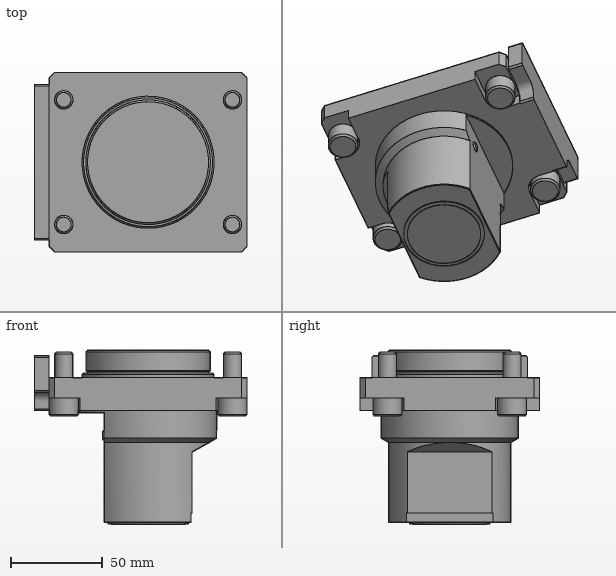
import cadquery as cq
import math


PLATE_LENGTH_X = 108.0
PLATE_WIDTH_Y = 98.0
PLATE_THICKNESS = 18.0
CORNER_THICKNESS = 11.0
PLATE_CORNER_CHAMFER = 3.0

SCREW_SPACING_X = 92.0
SCREW_SPACING_Y = 68.0
SHANK_DIAMETER = 10.0
SHANK_TOP = 14.0
HEAD_DIAMETER = 16.0
HEAD_HEIGHT = 10.0
HEAD_CLEARANCE = 1.0
SCREW_CHAMFER = 1.0

RAIL_THICKNESS = 8.0
RAIL_WIDTH = 85.0
RAIL_TOP = 12.0
RAIL_SHOULDER_Z = -8.0
RAIL_CHAMFER = 1.0
TAB_WIDTH = 51.0
TAB_FILLET = 5.0

FLANGE_DIAMETER = 72.04
FLANGE_HEIGHT = 2.6
FLANGE_CHAMFER = 0.85
NECK_DIAMETER = 66.7
LID_DIAMETER = 68.0
LID_BOTTOM = 3.4
LID_TOP = 15.0
LID_TOP_CHAMFER = 1.0
LID_BOTTOM_CHAMFER = 0.5

COLLAR_DIAMETER = 75.0
COLLAR_BOTTOM = -33.0
LEDGE_BOTTOM = -19.2
BARREL_DIAMETER = 66.7
SHOULDER_SLOPE = 30.0
RAMP_BOTTOM = -40.6
FLAT_LEFT_X = -24.0
FLAT_RIGHT_X = 24.0
CAP_TOP = -73.9
CAP_BOTTOM = -79.1
CAP_RIGHT_X = 23.5
CAP_CHAMFER = 0.4
BOTTOM_Z = -79.96
FOOT_STEP_DIAMETER = 44.0
FOOT_STEP_Z = -79.7
FOOT_DIAMETER = 40.0

BUTTON_DIAMETER = 5.7
BUTTON_HEIGHT = 0.9
BUTTON_CHAMFER = 0.85
BUTTON_Y = 15.5
BUTTON_Z = -31.5


def cylinder(diameter, bottom, top):
    return cq.Workplane("XY", origin=(0, 0, bottom)).circle(diameter / 2).extrude(top - bottom)


def block(x_min, x_max, y_size, bottom, top):
    slab = cq.Workplane("XY").box(x_max - x_min, y_size, top - bottom, centered=(False, True, False))
    return slab.translate((x_min, 0, bottom))


def make_plate():
    plate = block(-PLATE_LENGTH_X / 2, PLATE_LENGTH_X / 2, PLATE_WIDTH_Y, -PLATE_THICKNESS, 0)
    plate = plate.edges("|Z").chamfer(PLATE_CORNER_CHAMFER)
    relief_radius = HEAD_DIAMETER / 2 + HEAD_CLEARANCE
    relief_x = SCREW_SPACING_X / 2 - relief_radius
    relief_y = SCREW_SPACING_Y / 2 - relief_radius
    relief = (
        cq.Workplane("XY", origin=(0, 0, -PLATE_THICKNESS))
        .rect(PLATE_LENGTH_X, PLATE_WIDTH_Y, centered=False)
        .extrude(PLATE_THICKNESS - CORNER_THICKNESS)
        .edges("|Z and <X and <Y")
        .fillet(relief_radius)
        .translate((relief_x, relief_y, 0))
    )
    for copy in (relief, relief.mirror("YZ"), relief.mirror("XZ"), relief.mirror("YZ").mirror("XZ")):
        plate = plate.cut(copy)
    return plate


def make_screw():
    head_bottom = -CORNER_THICKNESS - HEAD_HEIGHT
    shank = cylinder(SHANK_DIAMETER, -CORNER_THICKNESS, SHANK_TOP).faces(">Z").chamfer(SCREW_CHAMFER)
    head = cylinder(HEAD_DIAMETER, head_bottom, -CORNER_THICKNESS).faces("<Z").chamfer(SCREW_CHAMFER)
    return shank.union(head)


def make_rail():
    outer_x = -PLATE_LENGTH_X / 2 - RAIL_THICKNESS
    inner_x = -PLATE_LENGTH_X / 2
    bar = block(outer_x, inner_x, RAIL_WIDTH, RAIL_SHOULDER_Z, RAIL_TOP).edges("|X")
    bar = bar.chamfer(RAIL_CHAMFER)
    tab = block(outer_x, inner_x, TAB_WIDTH, -PLATE_THICKNESS, RAIL_SHOULDER_Z)
    tab = tab.faces("<Z").edges("|X").chamfer(RAIL_CHAMFER)
    rail = bar.union(tab)
    corner_y = TAB_WIDTH / 2
    for side in (-1, 1):
        corner = cq.NearestToPointSelector(((outer_x + inner_x) / 2, side * corner_y, RAIL_SHOULDER_Z))
        rail = rail.edges("|X").edges(corner).fillet(TAB_FILLET)
    return rail


def make_lens():
    flange = cylinder(FLANGE_DIAMETER, 0, FLANGE_HEIGHT).faces(">Z").chamfer(FLANGE_CHAMFER)
    neck = cylinder(NECK_DIAMETER, 0, LID_BOTTOM)
    lid = cylinder(LID_DIAMETER, LID_BOTTOM, LID_TOP)
    lid = lid.faces(">Z").chamfer(LID_TOP_CHAMFER).faces("<Z").chamfer(LID_BOTTOM_CHAMFER)
    return flange.union(neck).union(lid)


def make_foot():
    step = cylinder(FOOT_STEP_DIAMETER, FOOT_STEP_Z, CAP_BOTTOM)
    return step.union(cylinder(FOOT_DIAMETER, BOTTOM_Z, FOOT_STEP_Z))


def make_housing():
    collar_radius = COLLAR_DIAMETER / 2
    barrel_radius = BARREL_DIAMETER / 2
    slope = math.tan(math.radians(SHOULDER_SLOPE))
    shoulder_bottom = COLLAR_BOTTOM - (collar_radius - barrel_radius) * slope

    ledge = cylinder(COLLAR_DIAMETER, LEDGE_BOTTOM, -PLATE_THICKNESS)
    profile = [
        (0, LEDGE_BOTTOM),
        (collar_radius, LEDGE_BOTTOM),
        (collar_radius, COLLAR_BOTTOM),
        (barrel_radius, shoulder_bottom),
        (barrel_radius, CAP_TOP),
        (0, CAP_TOP),
    ]
    barrel = cq.Workplane("XZ").polyline(profile).close().revolve(360, (0, 0, 0), (0, 1, 0))
    relief = [
        (barrel_radius, shoulder_bottom),
        (FLAT_RIGHT_X, RAMP_BOTTOM),
        (FLAT_RIGHT_X, CAP_TOP),
        (COLLAR_DIAMETER, CAP_TOP),
        (COLLAR_DIAMETER, shoulder_bottom),
    ]
    barrel = barrel.cut(cq.Workplane("XZ").polyline(relief).close().extrude(collar_radius, both=True))
    barrel = barrel.intersect(block(FLAT_LEFT_X, COLLAR_DIAMETER, COLLAR_DIAMETER, BOTTOM_Z, 0))

    cap = cylinder(BARREL_DIAMETER, CAP_BOTTOM, CAP_TOP)
    cap = cap.intersect(block(FLAT_LEFT_X, CAP_RIGHT_X, COLLAR_DIAMETER, BOTTOM_Z, 0))
    cap = cap.faces("<Z").chamfer(CAP_CHAMFER)
    return ledge.union(barrel).union(cap).union(make_foot())


def make_button():
    button = cq.Workplane("YZ", origin=(FLAT_LEFT_X, BUTTON_Y, BUTTON_Z)).circle(BUTTON_DIAMETER / 2)
    return button.extrude(-BUTTON_HEIGHT).faces("<X").chamfer(BUTTON_CHAMFER)


result = make_plate().union(make_rail()).union(make_lens()).union(make_housing()).union(make_button())
for side_x in (-1, 1):
    for side_y in (-1, 1):
        position = (side_x * SCREW_SPACING_X / 2, side_y * SCREW_SPACING_Y / 2, 0)
        result = result.union(make_screw().translate(position))